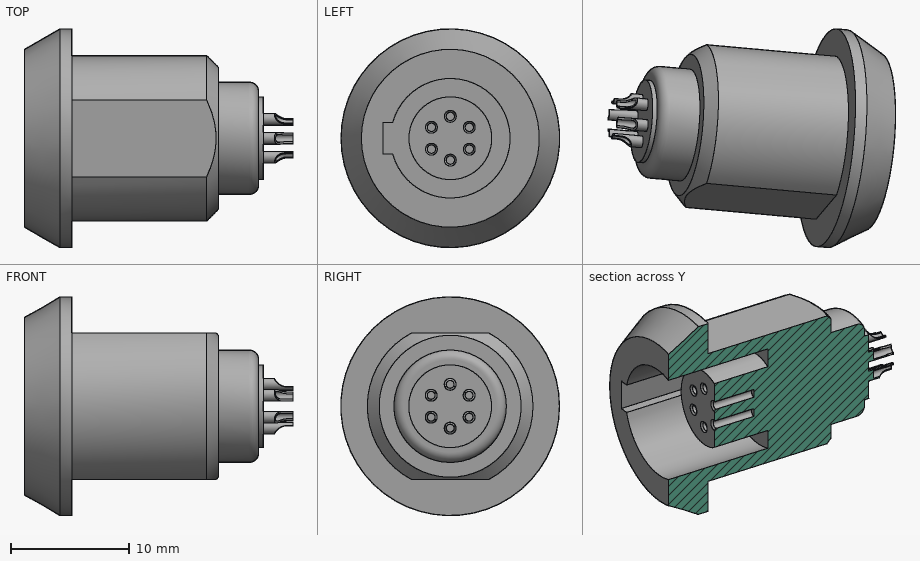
import cadquery as cq
import math


flange_radius = 9.25
flange_length = 4.0
cone_length = 3.0
cone_angle = 30.0
face_radius = flange_radius - cone_length * math.tan(math.radians(cone_angle))

body_radius = 7.0
body_end = 16.4
body_chamfer = 1.0
across_flats = 12.4

barrel_radius = 4.75
barrel_end = 19.8
barrel_fillet = 0.8
insert_radius = 3.5
insert_start = 4.6
insert_end = 20.2

bore_radius = 5.05
bore_depth = 10.0
keyway_width = 2.65
keyway_reach = 5.7

contact_count = 6
contact_circle_radius = 1.85
contact_radius = 0.5
socket_radius = 0.35
socket_depth = 4.0
socket_countersink = contact_radius - socket_radius
tail_end = 22.7
cup_radius = 0.33
cup_depth = 2.0
cup_cut_start = 21.12
cup_cut_flat_start = 22.2
cup_cut_level = -0.2


def x_cylinder(radius, start, end):
    return cq.Workplane("YZ", origin=(start, 0, 0)).circle(radius).extrude(end - start)


def revolve_about_x(outline):
    return cq.Workplane("XY").polyline(outline).close().revolve(360, (0, 0, 0), (1, 0, 0))


def make_flange():
    outline = [
        (0, 0),
        (0, face_radius),
        (cone_length, flange_radius),
        (flange_length, flange_radius),
        (flange_length, 0),
    ]
    return revolve_about_x(outline)


def make_body():
    body = x_cylinder(body_radius, flange_length, body_end).faces(">X").chamfer(body_chamfer)
    slab = cq.Workplane("XY").box(2 * body_end, 2 * body_radius, across_flats)
    return body.intersect(slab)


def make_barrel():
    return x_cylinder(barrel_radius, body_end, barrel_end).faces(">X").edges().fillet(barrel_fillet)


def make_bore():
    bore = x_cylinder(bore_radius, 0, bore_depth)
    keyway = cq.Workplane("XY").box(bore_depth, keyway_reach, keyway_width, centered=(False, False, True))
    return bore.union(keyway)


def make_socket():
    """Countersunk socket hole on the X axis, to be cut into the front of the insert."""
    outline = [
        (insert_start, 0),
        (insert_start, contact_radius),
        (insert_start + socket_countersink, socket_radius),
        (insert_start + socket_depth, socket_radius),
        (insert_start + socket_depth, 0),
    ]
    return revolve_about_x(outline)


def make_solder_tail():
    """Tail on the X axis: a drilled cup, cut open towards +Z by an arc that runs into a flat."""
    tail = x_cylinder(contact_radius, insert_end, tail_end)
    cup = x_cylinder(cup_radius, tail_end - cup_depth, tail_end)

    arc_run = cup_cut_flat_start - cup_cut_start
    arc_drop = contact_radius - cup_cut_level
    arc_radius = (arc_run**2 + arc_drop**2) / (2 * arc_drop)
    half_angle = math.asin(arc_run / arc_radius) / 2
    arc_middle = (
        cup_cut_flat_start - arc_radius * math.sin(half_angle),
        cup_cut_level + arc_radius * (1 - math.cos(half_angle)),
    )
    opening = (
        cq.Workplane("XZ")
        .moveTo(cup_cut_start, contact_radius)
        .threePointArc(arc_middle, (cup_cut_flat_start, cup_cut_level))
        .lineTo(tail_end, cup_cut_level)
        .lineTo(tail_end, contact_radius)
        .close()
        .extrude(contact_radius, both=True)
    )
    return tail.cut(cup).cut(opening)


def at_contact(shape, index):
    """Moves a shape from the X axis to one contact place, its +Z side facing outwards."""
    angle = index * 360 / contact_count
    return shape.translate((0, 0, contact_circle_radius)).rotate((0, 0, 0), (1, 0, 0), angle)


shell = make_flange().union(make_body()).union(make_barrel()).cut(make_bore())
result = shell.union(x_cylinder(insert_radius, insert_start, insert_end))
for contact in range(contact_count):
    result = result.cut(at_contact(make_socket(), contact))
    result = result.union(at_contact(make_solder_tail(), contact))